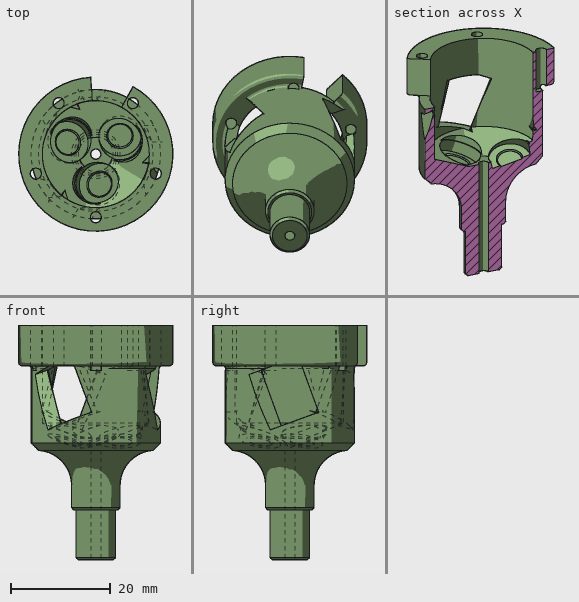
import cadquery as cq
import math

total_height = 47.1
flange_bottom = 39.0
cup_bottom = 22.0
collar_top = 15.0
collar_bottom = 10.0

flange_radius = 15.5
cup_radius = 13.0
collar_radius = 4.9
shank_radius = 4.0
cup_chamfer = 1.5
shank_chamfer = 0.5
flange_fillet = 0.7
flange_root_fillet = 0.5
neck_fillet = cup_bottom - collar_top

bore_radius = 10.75
floor_radius = 3.36
floor_height = 24.4
cone_angle = 22.5
cone_top = floor_height + (bore_radius - floor_radius) * math.tan(math.radians(cone_angle))
centre_hole_diameter = 2.0

pin_count = 5
pin_diameter = 2.2
pin_circle_radius = 12.65
pin_depth = 9.0
first_pin_angle = -90.0

notch_start_angle = 61.2
notch_end_angle = 93.7

side_count = 3
window_angle = 240.0
window_width = 8.0
window_height = 11.9
window_tilt = 20.0
window_centre_height = 33.9
window_limit_radius = cup_radius + flange_root_fillet

outer_bevel_lower = (10.75, 55.0)
outer_bevel_upper = (9.55, 78.0)
inner_bevel_lower = (9.35, 45.0)
inner_bevel_upper = (11.7, 45.0)
outer_bevel_spread = 5.0
inner_bevel_spread = 2.5
bevel_clearance = 6.0

seat_diameter = 8.5
seat_ledge_height = 2.3
seat_ledge_width = 0.25
seat_recess_diameter = 5.35
seat_recess_depth = 0.25
seat_tilt = 20.0
seat_lean = 150.0
seat_centre = (0.74, -6.03, 23.9)
seat_clearance = 8.0


def turn(angle, shape):
    return shape.rotate((0, 0, 0), (0, 0, 1), angle)


def turned_blank():
    arc_middle = neck_fillet * math.sqrt(0.5)
    arc_centre_radius = collar_radius + neck_fillet
    cup_bottom_radius = cup_radius - cup_chamfer
    arc_end = collar_top + math.sqrt(neck_fillet**2 - (arc_centre_radius - cup_bottom_radius) ** 2)
    root = flange_root_fillet * (1 - math.sqrt(0.5))
    edge = flange_fillet * (1 - math.sqrt(0.5))
    return (
        cq.Workplane("XZ")
        .moveTo(0, 0)
        .lineTo(shank_radius - shank_chamfer, 0)
        .lineTo(shank_radius, shank_chamfer)
        .lineTo(shank_radius, collar_bottom)
        .lineTo(collar_radius - shank_chamfer, collar_bottom)
        .lineTo(collar_radius, collar_bottom + shank_chamfer)
        .lineTo(collar_radius, collar_top)
        .threePointArc(
            (arc_centre_radius - arc_middle, collar_top + arc_middle),
            (cup_bottom_radius, arc_end),
        )
        .lineTo(cup_radius, cup_bottom + cup_chamfer)
        .lineTo(cup_radius, flange_bottom - flange_root_fillet)
        .threePointArc(
            (cup_radius + root, flange_bottom - root),
            (cup_radius + flange_root_fillet, flange_bottom),
        )
        .lineTo(flange_radius - flange_fillet, flange_bottom)
        .threePointArc(
            (flange_radius - edge, flange_bottom + edge),
            (flange_radius, flange_bottom + flange_fillet),
        )
        .lineTo(flange_radius, total_height)
        .lineTo(0, total_height)
        .close()
        .revolve(360, (0, 0, 0), (0, 1, 0))
    )


def cup_cavity():
    cavity = (
        cq.Workplane("XZ")
        .moveTo(0, floor_height)
        .lineTo(floor_radius, floor_height)
        .lineTo(bore_radius, cone_top)
        .lineTo(bore_radius, total_height)
        .lineTo(0, total_height)
        .close()
        .revolve(360, (0, 0, 0), (0, 1, 0))
    )
    centre_hole = cq.Workplane("XY").circle(centre_hole_diameter / 2).extrude(floor_height)
    return cavity.union(centre_hole)


def pin_holes():
    return (
        cq.Workplane("XY", origin=(0, 0, total_height - pin_depth))
        .polarArray(pin_circle_radius, first_pin_angle, 360, pin_count)
        .circle(pin_diameter / 2)
        .extrude(pin_depth)
    )


def flange_notch():
    """A wedge through the flange; outside the cup it also clears the root fillet."""
    reach = 2 * flange_radius
    start = math.radians(notch_start_angle)
    end = math.radians(notch_end_angle)
    wedge_bottom = flange_bottom - flange_root_fillet
    wedge = (
        cq.Workplane("XY", origin=(0, 0, wedge_bottom))
        .moveTo(0, 0)
        .lineTo(reach * math.cos(start), reach * math.sin(start))
        .lineTo(reach * math.cos(end), reach * math.sin(end))
        .close()
        .extrude(total_height - wedge_bottom)
    )
    kept_rim = cq.Workplane("XY", origin=(0, 0, wedge_bottom)).circle(cup_radius).extrude(flange_root_fillet)
    return wedge.cut(kept_rim)


def ruled_bevel(wall, lower_start, upper_start, spread, direction):
    """Wedge beside a window wall, from the wall's lower end to its upper end.

    Each start is (reach, angle): the distance from the axis where the bevel leaves the wall, and
    its angle from the wall. A direction of 1 opens the bevel outward and -1 opens it inward.
    """
    side = math.copysign(spread, wall)
    sections = []
    for height, (reach, angle) in ((-window_height / 2, lower_start), (window_height / 2, upper_start)):
        run = direction * spread / math.tan(math.radians(angle))
        corners = [
            cq.Vector(reach, wall, height),
            cq.Vector(reach + direction * bevel_clearance, wall, height),
            cq.Vector(reach + run, wall + side, height),
        ]
        sections.append(cq.Wire.makePolygon(corners, close=True))
    return cq.Workplane(cq.Solid.makeLoft(sections, True))


def window():
    """A tilted rectangular opening, bevelled outside on one wall and inside on the other."""
    opening = cq.Workplane("YZ").rect(window_width, window_height).extrude(flange_radius)
    outer_bevel = ruled_bevel(-window_width / 2, outer_bevel_lower, outer_bevel_upper, outer_bevel_spread, 1)
    inner_bevel = ruled_bevel(window_width / 2, inner_bevel_lower, inner_bevel_upper, inner_bevel_spread, -1)
    opening = opening.union(outer_bevel).union(inner_bevel)
    opening = opening.rotate((0, 0, 0), (1, 0, 0), window_tilt).translate((0, 0, window_centre_height))
    limit = cq.Workplane("XY").circle(window_limit_radius).extrude(flange_bottom)
    return turn(window_angle, opening.intersect(limit))


def seat():
    """A stepped round pocket leaning sideways, with a shallow tapered recess in its floor."""
    lean = math.radians(seat_lean)
    tilt = math.radians(seat_tilt)
    axis = cq.Vector(
        math.sin(tilt) * math.cos(lean),
        math.sin(tilt) * math.sin(lean),
        math.cos(tilt),
    )
    centre = cq.Vector(*seat_centre)
    lower = cq.Solid.makeCylinder(seat_diameter / 2, seat_clearance, centre, axis)
    upper = cq.Solid.makeCylinder(
        seat_diameter / 2 + seat_ledge_width,
        seat_clearance - seat_ledge_height,
        centre + axis * seat_ledge_height,
        axis,
    )
    recess = cq.Solid.makeCone(
        seat_recess_diameter / 2,
        seat_recess_diameter / 2 - seat_recess_depth,
        seat_recess_depth,
        centre,
        axis * -1,
    )
    return cq.Workplane(lower).union(cq.Workplane(upper)).union(cq.Workplane(recess))


result = turned_blank().cut(cup_cavity()).cut(pin_holes()).cut(flange_notch())
for index in range(side_count):
    spin = index * 360 / side_count
    result = result.cut(turn(spin, window()))
    result = result.cut(turn(spin, seat()))